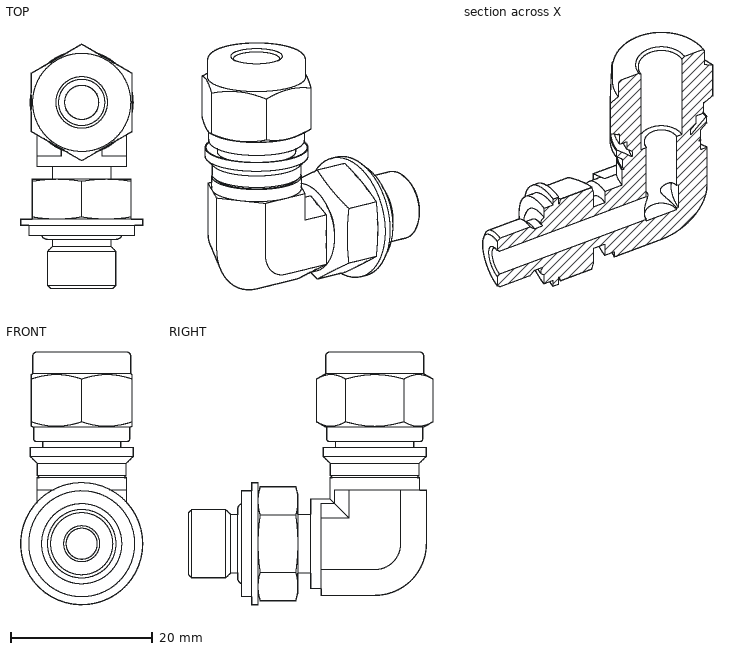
import cadquery as cq
import math


COS_30 = math.cos(math.radians(30))
TAN_30 = math.tan(math.radians(30))

body_flats = 12.7
body_radius = body_flats / 2
body_corner = body_radius / COS_30
body_side_edge = body_corner / 2
body_leg_length = 7.57
body_inner_trim = 5.66

top_height = 27.14
cap_diameter = 13.9
cap_rounding = 0.6
tube_nut_flats = 14.2875
tube_nut_top = 24.05
tube_nut_bottom = 16.5
tube_nut_chamfer_diameter = 13.9
tube_nut_chamfer_angle = 30
collar_diameter = 13.6
collar_bottom = 14.45
collar_rounding = 0.35
tube_neck_diameter = 11.11
tube_neck_end = 13.0
undercut_diameter = 9.4
recess_diameter = 14.3
flange_diameter = 14.6
flange_top = 13.63
flange_bottom = 12.35
shoulder_diameter = 12.6
shoulder_bottom = 9.35
shoulder_chamfer = 0.3
flange_cone_height = (flange_diameter - shoulder_diameter) / 2

stud_collar_end = 9.08
stud_neck_diameter = 8.3
stud_nut_flats = 14.0
stud_nut_start = 10.87
stud_nut_end = 16.5
stud_nut_chamfer_diameter = 14.0
stud_nut_chamfer_angle = 15
washer_diameter = 17.3
washer_end = 17.4
retainer_diameter = 15.0
retainer_end = 18.85
seal_diameter = 11.5
seal_end = 19.4
seal_center_diameter = 9.7
seal_section_radius = (seal_diameter - seal_center_diameter) / 2
thread_diameter = 9.7
thread_start = 20.38
thread_chamfer = 0.45
stud_length = 26.35

tube_socket_diameter = 6.55
tube_socket_mouth = 7.3
tube_socket_depth = 15.2
tube_bore_diameter = 4.83
stud_bore_diameter = 4.4
stud_bore_mouth = 5.1
bore_overrun = 0.3


def turned(outline):
    """Revolve a (radius, height) outline about Z."""
    return cq.Workplane("XZ").polyline(outline).close().revolve(360, (0, 0), (0, 1))


def cylinder(diameter, start, end):
    return cq.Workplane("XY").workplane(offset=start).circle(diameter / 2).extrude(end - start)


def to_stud_axis(shape):
    """Turn a shape built along +Z so that it runs along -Y."""
    return shape.rotate((0, 0, 0), (1, 0, 0), 90)


def hex_nut(flats, start, end, chamfer_diameter, chamfer_angle):
    """Hexagon along Z with corners on +-Y and both ends cut by a shallow cone."""
    corner = flats / 2 / COS_30
    face_radius = chamfer_diameter / 2
    drop = (corner - face_radius) * math.tan(math.radians(chamfer_angle))
    prism = (
        cq.Workplane("XY").workplane(offset=start)
        .polygon(6, 2 * corner).extrude(end - start)
        .rotate((0, 0, 0), (0, 0, 1), 90)
    )
    envelope = turned([
        (0, start),
        (face_radius, start),
        (corner, start + drop),
        (corner, end - drop),
        (face_radius, end),
        (0, end),
    ])
    return prism.intersect(envelope)


def body_leg():
    """Hexagon leg along Z whose -Y corner is cut off to clear the round stem."""
    trim_x = (body_corner - body_inner_trim) / TAN_30
    return (
        cq.Workplane("XY")
        .polyline([
            (trim_x, -body_inner_trim),
            (body_radius, -body_side_edge),
            (body_radius, body_side_edge),
            (0, body_corner),
            (-body_radius, body_side_edge),
            (-body_radius, -body_side_edge),
            (-trim_x, -body_inner_trim),
        ])
        .close()
        .extrude(body_leg_length)
    )


def elbow_body():
    """Two hexagon legs joined by a bend: half the hexagon swept a quarter turn about X."""
    bend_angle = 90
    tube_side = body_leg()
    stud_side = to_stud_axis(body_leg().mirror("XZ"))
    bend = (
        cq.Workplane("XY")
        .polyline([
            (-body_radius, 0),
            (-body_radius, body_side_edge),
            (0, body_corner),
            (body_radius, body_side_edge),
            (body_radius, 0),
        ])
        .close()
        .revolve(bend_angle, (0, 0), (-1, 0))
    )
    return tube_side.union(stud_side).union(bend)


def tube_leg():
    cap = cylinder(cap_diameter, tube_nut_top, top_height).faces(">Z").edges().fillet(cap_rounding)
    nut = hex_nut(
        tube_nut_flats, tube_nut_bottom, tube_nut_top, tube_nut_chamfer_diameter, tube_nut_chamfer_angle
    )
    collar = cylinder(collar_diameter, collar_bottom, tube_nut_bottom)
    collar = collar.faces("<Z").edges().fillet(collar_rounding)
    shoulder_radius = shoulder_diameter / 2
    neck_radius = tube_neck_diameter / 2
    undercut_radius = undercut_diameter / 2
    recess_radius = recess_diameter / 2
    stem = turned([
        (0, 0),
        (body_radius, 0),
        (body_radius, shoulder_bottom),
        (shoulder_radius - shoulder_chamfer, shoulder_bottom),
        (shoulder_radius, shoulder_bottom + shoulder_chamfer),
        (shoulder_radius, flange_bottom - flange_cone_height),
        (flange_diameter / 2, flange_bottom),
        (flange_diameter / 2, flange_top),
        (recess_radius, flange_top),
        (undercut_radius, flange_top - (recess_radius - undercut_radius)),
        (undercut_radius, tube_neck_end - (neck_radius - undercut_radius)),
        (neck_radius, tube_neck_end),
        (neck_radius, collar_bottom),
        (0, collar_bottom),
    ])
    return stem.union(collar).union(nut).union(cap)


def seal_ring():
    """Round-section ring that stands out of the retainer's end face."""
    return (
        cq.Workplane("XZ")
        .center(seal_center_diameter / 2, seal_end - seal_section_radius)
        .circle(seal_section_radius)
        .revolve(360, (-seal_center_diameter / 2, 0), (-seal_center_diameter / 2, 1))
    )


def stud_leg():
    neck_radius = stud_neck_diameter / 2
    thread_radius = thread_diameter / 2
    stem = turned([
        (0, 0),
        (body_radius, 0),
        (body_radius, stud_collar_end),
        (neck_radius, stud_collar_end),
        (neck_radius, thread_start),
        (thread_radius, thread_start + thread_radius - neck_radius),
        (thread_radius, stud_length - thread_chamfer),
        (thread_radius - thread_chamfer, stud_length),
        (0, stud_length),
    ])
    nut = hex_nut(
        stud_nut_flats, stud_nut_start, stud_nut_end, stud_nut_chamfer_diameter, stud_nut_chamfer_angle
    )
    washer = cylinder(washer_diameter, stud_nut_end, washer_end)
    retainer = cylinder(retainer_diameter, washer_end, retainer_end)
    leg = stem.union(nut).union(washer).union(retainer).union(seal_ring())
    return to_stud_axis(leg)


def tube_bore():
    """Stepped bore from the top that ends just below the stud bore."""
    floor = -stud_bore_diameter / 2 - bore_overrun
    bore_radius = tube_bore_diameter / 2
    socket_radius = tube_socket_diameter / 2
    mouth_radius = tube_socket_mouth / 2
    socket_floor = top_height - tube_socket_depth
    return turned([
        (0, floor),
        (bore_radius, floor),
        (bore_radius, socket_floor),
        (socket_radius, socket_floor),
        (socket_radius, top_height - (mouth_radius - socket_radius)),
        (mouth_radius, top_height),
        (0, top_height),
    ])


def stud_bore():
    """Straight bore from the stud end that ends just past the tube bore."""
    floor = -tube_bore_diameter / 2 - bore_overrun
    bore_radius = stud_bore_diameter / 2
    mouth_radius = stud_bore_mouth / 2
    bore = turned([
        (0, floor),
        (bore_radius, floor),
        (bore_radius, stud_length - (mouth_radius - bore_radius)),
        (mouth_radius, stud_length),
        (0, stud_length),
    ])
    return to_stud_axis(bore)


fitting = elbow_body().union(tube_leg()).union(stud_leg())
result = fitting.cut(tube_bore()).cut(stud_bore())